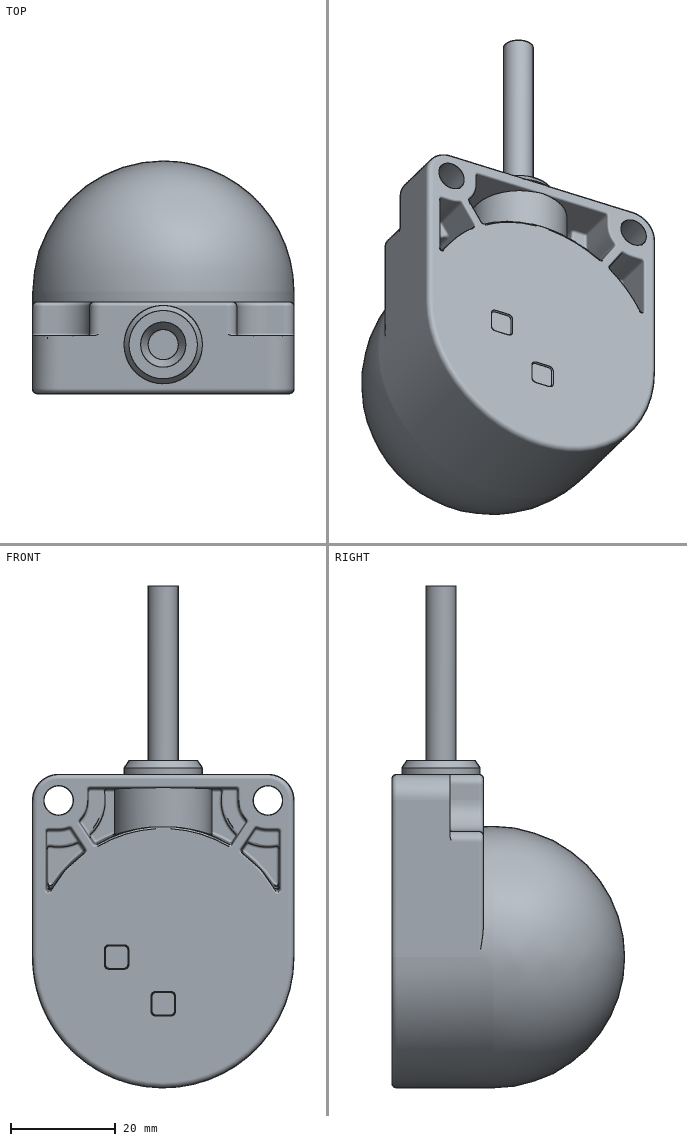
import cadquery as cq
import math

total_height = 96
plate_width = 50.0
plate_radius = plate_width / 2
total_depth = 44.6
dome_base_y = total_depth - plate_radius
plate_thickness = 17.6
plate_top_z = 35.0
plate_corner_radius = 5.0
mount_edge_radius = 1.0
front_edge_radius = 0.9

hole_x = 20.02
hole_z = 30.0
hole_radius = 2.8
relief_radius = 6.0
relief_edge_radius = 2.0
relief_floor_y = 11.1
relief_floor_fillet = 0.4

wall = 2.6
floor_thickness = 3.0
pocket_mouth_radius = 0.4
pocket_corner_radius = 0.5
pocket_draft = 1.5
hub_radius = 25.0
hole_boss_radius = 5.6
rib_width = 1.8
deep_floor_y = plate_thickness - floor_thickness
shallow_floor_y = relief_floor_y - floor_thickness
shallow_floor_radius = relief_radius + floor_thickness

cable_y = 9.4
cable_radius = 2.9
cable_top_z = total_height - plate_radius
barrel_radius = 9.3
gland_radius = 7.5
gland_top_z = 37.6
gland_bevel_width = 1.0
gland_bevel_height = 1.4
gland_mouth_radius = 4.3
cable_bottom_z = plate_top_z

mark_size = 4.7
mark_corner_radius = 1.0
mark_depth = 0.3
mark_draft = 35.0
mark_offset = 8.9


def plane_at(y):
    """XZ workplane at height y; negative extrusions run toward +Y."""
    return cq.Workplane("XZ", origin=(0, y, 0))


def make_relief():
    """Screw-head relief at the +X corner, flared into the plate edges, with a rounded floor edge."""
    margin = plate_corner_radius
    step_x = hole_x - relief_radius
    step_z = hole_z - relief_radius
    flare_x = step_x - relief_edge_radius
    flare_z = step_z - relief_edge_radius
    relief = (
        plane_at(relief_floor_y)
        .moveTo(flare_x, plate_top_z)
        .radiusArc((step_x, plate_top_z - relief_edge_radius), relief_edge_radius)
        .lineTo(step_x, hole_z)
        .radiusArc((hole_x, step_z), -relief_radius)
        .lineTo(plate_radius - relief_edge_radius, step_z)
        .radiusArc((plate_radius, flare_z), relief_edge_radius)
        .lineTo(plate_radius + margin, flare_z)
        .lineTo(plate_radius + margin, plate_top_z + margin)
        .lineTo(flare_x, plate_top_z + margin)
        .close()
        .extrude(relief_floor_y - plate_thickness)
    )
    wall_foot = cq.selectors.NearestToPointSelector((step_x, relief_floor_y, hole_z + 1))
    return relief.edges(wall_foot).fillet(relief_floor_fillet)


def make_plate():
    """D-shaped mounting plate with stepped-back corners around the screw heads."""
    plate = (
        plane_at(0)
        .moveTo(-plate_radius, 0)
        .lineTo(-plate_radius, plate_top_z)
        .lineTo(plate_radius, plate_top_z)
        .lineTo(plate_radius, 0)
        .threePointArc((0, -plate_radius), (-plate_radius, 0))
        .close()
        .extrude(-plate_thickness)
    )
    plate = plate.edges("|Y and >Z").fillet(plate_corner_radius)
    plate = plate.faces("<Y").edges().fillet(mount_edge_radius)
    relief = make_relief()
    plate = plate.cut(relief).cut(relief.mirror("YZ"))
    return plate.faces(">Y").edges().fillet(front_edge_radius)


def make_dome():
    """Cylinder closed by a hemisphere."""
    base_y = plate_thickness / 2
    profile = (
        cq.Workplane("XY")
        .moveTo(0, base_y)
        .lineTo(plate_radius, base_y)
        .lineTo(plate_radius, dome_base_y)
        .radiusArc((0, total_depth), -plate_radius)
        .close()
    )
    return profile.revolve(360, (0, 0, 0), (0, 1, 0))


def make_hole_boss(side):
    """Drafted block around a mounting hole, rounded toward the pockets."""
    reach = 2 * plate_corner_radius
    boss_size = hole_boss_radius + reach
    centre_offset = (reach - hole_boss_radius) / 2
    block = (
        plane_at(0)
        .center(side * (hole_x + centre_offset), hole_z + centre_offset)
        .rect(boss_size, boss_size)
        .extrude(-plate_thickness)
    )
    inner_edge = "<X" if side > 0 else ">X"
    block = block.edges("|Y and <Z").edges(inner_edge).fillet(hole_boss_radius)
    return (
        block.faces("<Y").wires().toPending().workplane()
        .extrude(-plate_thickness, taper=-pocket_draft)
    )


def make_pockets():
    """Drafted volumes between the walls, the hub, the hole bosses and the ribs."""
    half_width = plate_radius - wall
    top_z = plate_top_z - wall
    volume = (
        plane_at(0)
        .center(0, top_z / 2)
        .rect(2 * half_width, top_z)
        .extrude(-deep_floor_y, taper=pocket_draft)
    )
    hub = plane_at(0).circle(hub_radius).extrude(-plate_thickness, taper=-pocket_draft)
    volume = volume.cut(hub)
    rib_length = math.hypot(hole_x, hole_z)
    rib_angle = math.degrees(math.atan2(hole_z, hole_x))
    for side in (-1, 1):
        rib = (
            plane_at(0)
            .rect(2 * rib_length, rib_width)
            .extrude(-plate_thickness, taper=-pocket_draft)
            .rotate((0, 0, 0), (0, 1, 0), -rib_angle if side > 0 else rib_angle - 180)
        )
        shelf = (
            plane_at(shallow_floor_y)
            .center(side * hole_x, hole_z)
            .circle(shallow_floor_radius)
            .extrude(-plate_thickness)
        )
        volume = volume.cut(rib).cut(make_hole_boss(side)).cut(shelf)
    return volume.edges("not <Y").fillet(pocket_corner_radius)


def make_barrel():
    """Cylinder around the cable entry that crosses the central pocket."""
    return (
        cq.Workplane("XY", origin=(0, cable_y, hub_radius / 2))
        .circle(barrel_radius)
        .extrude(plate_top_z - wall / 2 - hub_radius / 2)
        .intersect(plane_at(0).rect(plate_width, total_height).extrude(wall / 2 - plate_thickness))
    )


def make_gland():
    bevel_start_z = gland_top_z - gland_bevel_height
    profile = (
        cq.Workplane("XZ", origin=(0, cable_y, 0))
        .moveTo(0, plate_top_z - wall)
        .lineTo(gland_radius, plate_top_z - wall)
        .lineTo(gland_radius, bevel_start_z)
        .lineTo(gland_radius - gland_bevel_width, gland_top_z)
        .lineTo(0, gland_top_z)
        .close()
    )
    return profile.revolve(360, (0, 0, 0), (0, 1, 0))


def make_cable_entry():
    """Conical opening that narrows down to the cable."""
    profile = (
        cq.Workplane("XZ", origin=(0, cable_y, 0))
        .moveTo(0, cable_bottom_z)
        .lineTo(cable_radius, cable_bottom_z)
        .lineTo(gland_mouth_radius, gland_top_z)
        .lineTo(0, gland_top_z)
        .close()
    )
    return profile.revolve(360, (0, 0, 0), (0, 1, 0))


def make_mark(x, z):
    """Shallow rounded square recess with sloped sides."""
    outline = (
        cq.Sketch()
        .rect(mark_size, mark_size)
        .vertices()
        .fillet(mark_corner_radius)
    )
    return plane_at(0).center(x, z).placeSketch(outline).extrude(-mark_depth, taper=mark_draft)


def make_housing():
    body = make_plate()
    body = body.cut(make_pockets())
    mouth = cq.selectors.BoxSelector(
        (-plate_radius + wall / 2, -0.1, 0), (plate_radius - wall / 2, 0.1, plate_top_z - wall / 2)
    )
    body = body.edges(mouth).fillet(pocket_mouth_radius)
    body = body.union(make_dome()).union(make_barrel()).union(make_gland())
    holes = (
        plane_at(0)
        .pushPoints([(-hole_x, hole_z), (hole_x, hole_z)])
        .circle(hole_radius)
        .extrude(-plate_thickness)
    )
    body = body.cut(holes).cut(make_cable_entry())
    for x, z in ((-mark_offset, 0), (0, -mark_offset)):
        body = body.cut(make_mark(x, z))
    return body


def make_cable():
    return (
        cq.Workplane("XY", origin=(0, cable_y, cable_bottom_z))
        .circle(cable_radius)
        .extrude(cable_top_z - cable_bottom_z)
    )


housing = make_housing()
cable = make_cable()

result = cq.Compound.makeCompound([housing.val(), cable.val()])